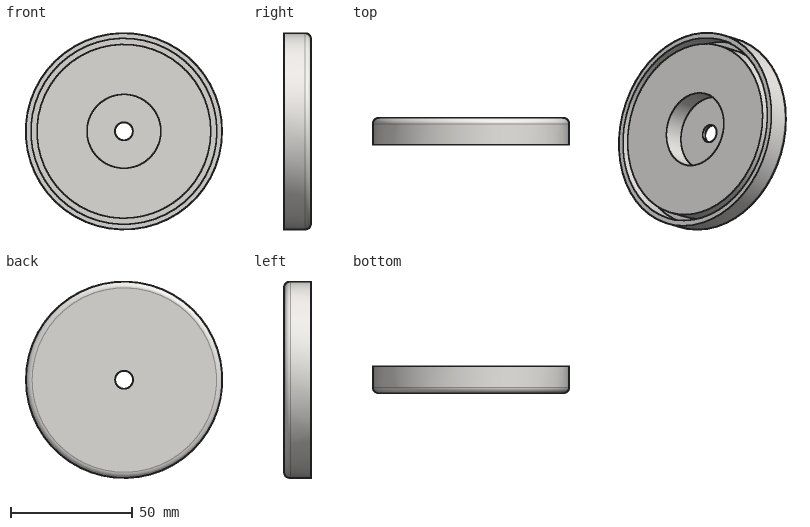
import cadquery as cq

outer_radius = 40.5
thickness = 11.2
edge_radius = 2.5

floor_thickness = 1.7
recess_depth = thickness - floor_thickness

groove_outer_radius = 38.3
groove_inner_radius = 35.8

pocket_radius = 15.2
hole_radius = 3.65


def cylinder(radius, length):
    """Cylinder about the Y axis running from Y = 0 to Y = length."""
    return cq.Workplane("XZ").circle(radius).extrude(-length)


def rounded_disc():
    """Solid disc with the rim of its closed face rounded."""
    return cylinder(outer_radius, thickness).faces(">Y").edges().fillet(edge_radius)


def groove():
    """Ring of material removed between the rim and the boss."""
    outside = cylinder(groove_outer_radius, recess_depth)
    return outside.cut(cylinder(groove_inner_radius, recess_depth))


pocket = cylinder(pocket_radius, recess_depth)
hole = cylinder(hole_radius, thickness)

result = rounded_disc().cut(groove()).cut(pocket).cut(hole)